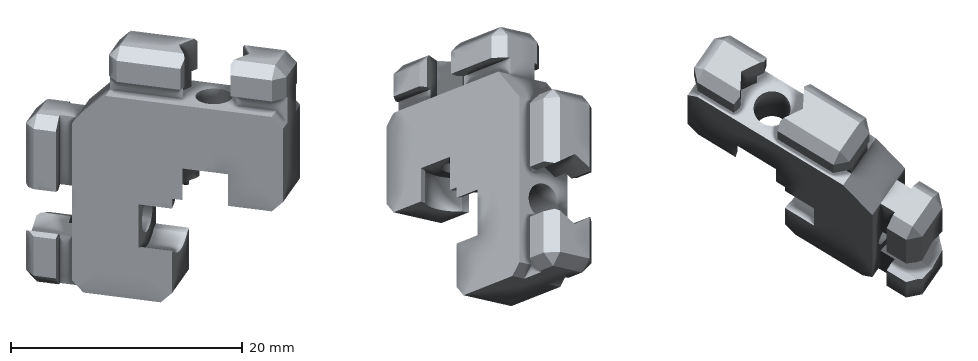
import cadquery as cq
import math

length = 23.5
thickness = 5.2
edge_chamfer = 1.0

head_depth = 3.0
neck_depth = 4.5
pocket_floor = 10.48
arm_inner = 13.5

rail_start = 7.5
neck_thickness = 2.6

bolt_place = 16.5
bolt_hole_diameter = 3.2
nut_corner_radius = 3.17
gap_half_width = 2.07
gap_wide_half_width = 2.25
bolt_head_radius = 3.0

half_thickness = thickness / 2


def block(x_start, x_end, depth_start, depth_end, y_size):
    """Box centred on Y, with depths measured down from the top."""
    height = depth_end - depth_start
    return (
        cq.Workplane("XY", origin=((x_start + x_end) / 2, 0, length - depth_end))
        .box(x_end - x_start, y_size, height, centered=(True, True, False))
    )


def bolt_plane(depth):
    """Horizontal workplane on the bolt axis of the top arm."""
    return cq.Workplane("XY", origin=(bolt_place, 0, length - depth))


def on_both_arms(top_arm_shape):
    """Add the copy of a top-arm shape that belongs to the left arm."""
    left_arm_shape = top_arm_shape.rotate((0, 0, length), (length, 0, 0), 180)
    return top_arm_shape.union(left_arm_shape)


def make_body():
    """L-shaped plate with a bevelled outer corner and bevelled arm ends."""
    top_arm_side = [
        (rail_start, neck_depth),
        (length - edge_chamfer, neck_depth),
        (length, neck_depth + edge_chamfer),
        (length, arm_inner - edge_chamfer),
        (length - edge_chamfer, arm_inner),
    ]
    left_arm_side = [(depth, along) for along, depth in reversed(top_arm_side)]
    outline = top_arm_side + [(arm_inner, arm_inner)] + left_arm_side
    return (
        cq.Workplane("XZ")
        .polyline([(x, length - depth) for x, depth in outline])
        .close()
        .extrude(half_thickness, both=True)
    )


def make_rail():
    """Wide bevelled head on a thin neck, running along the top arm."""
    head = (
        block(rail_start, length, 0, head_depth, thickness)
        .edges("|Z or >Z")
        .chamfer(edge_chamfer)
    )
    neck = block(rail_start, length, head_depth, neck_depth + edge_chamfer, neck_thickness)
    return head.union(neck)


def make_nut_trap():
    """Hexagonal seat whose side gaps narrow, then flare towards both faces."""
    narrow_y = (nut_corner_radius - gap_half_width) * math.tan(math.radians(60))
    right_side = [
        (gap_wide_half_width, -half_thickness),
        (gap_half_width, -narrow_y),
        (nut_corner_radius, 0),
        (gap_half_width, narrow_y),
        (gap_wide_half_width, half_thickness),
    ]
    left_side = [(-x, -y) for x, y in right_side]
    return bolt_plane(neck_depth).polyline(right_side + left_side).close().extrude(neck_depth)


def make_bolt_head_pocket():
    """Round seat on the inner side of the arm, its gaps tapering in towards both faces."""
    depth = arm_inner - pocket_floor
    wide_y = math.sqrt(bolt_head_radius**2 - gap_wide_half_width**2)
    upper_side = [
        (gap_wide_half_width, wide_y),
        (gap_half_width, half_thickness),
        (-gap_half_width, half_thickness),
        (-gap_wide_half_width, wide_y),
    ]
    lower_side = [(-x, -y) for x, y in upper_side]
    seat = bolt_plane(arm_inner).circle(bolt_head_radius).extrude(depth)
    gap = bolt_plane(arm_inner).polyline(upper_side + lower_side).close().extrude(depth)
    return seat.union(gap)


def make_bolt_hole():
    """Clearance hole through the arm, from nut trap to bolt-head pocket."""
    return bolt_plane(arm_inner).circle(bolt_hole_diameter / 2).extrude(arm_inner)


bolt_seat = make_nut_trap().union(make_bolt_hole()).union(make_bolt_head_pocket())
result = make_body().union(on_both_arms(make_rail())).cut(on_both_arms(bolt_seat))